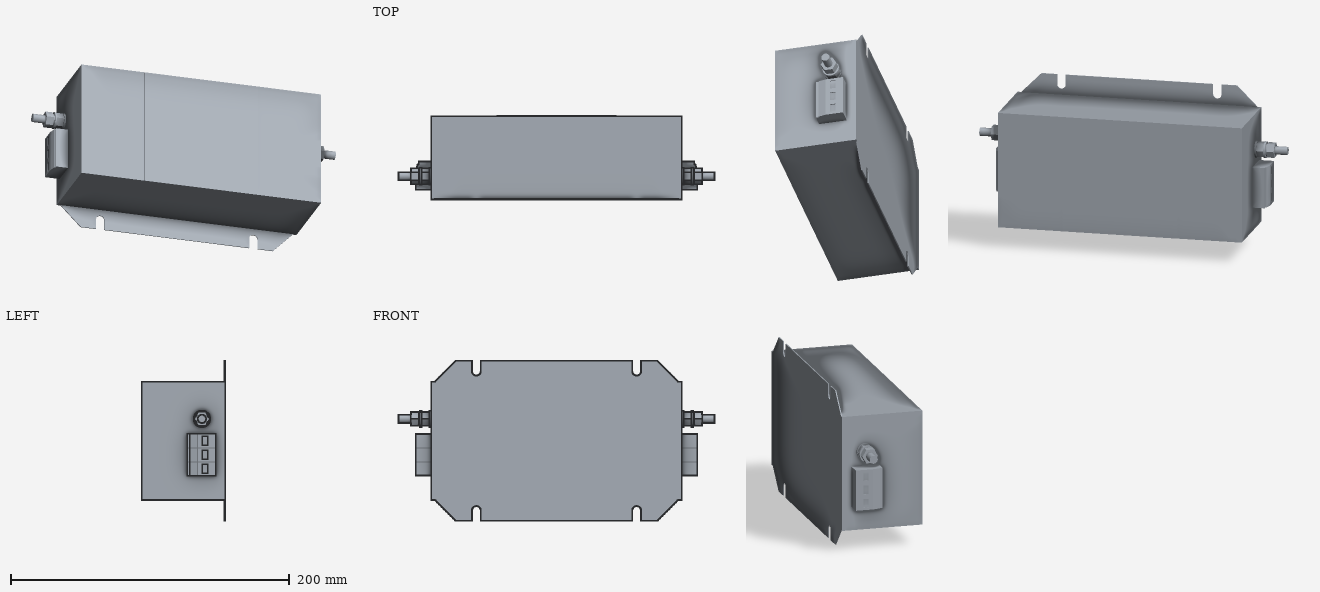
import cadquery as cq
import math


body_length = 180.0
body_depth = 60.0
body_height = 85.0

plate_thickness = 0.8
plate_height = 115.0
plate_shoulder = 2.75
slot_width = 6.2
slot_spacing = 115.0
slot_center_height = 50.0

label_size = 85.0
label_thickness = 0.05

stud_y = 16.8
stud_z = 15.75
stud_diameter = 6.0
stud_tip_x = 113.5
nut_across_flats = 10.0
nut_thickness = 5.4
washer_diameter = 12.0
washer_thickness = 1.3
spring_washer_diameter = 9.0
spring_washer_thickness = 1.0
nut_sides = 6
nut_across_corners = nut_across_flats / math.cos(math.pi / nut_sides)

terminal_count = 3
terminal_pitch = 10.0
terminal_top_z = 5.0
terminal_front_y = 7.0
terminal_slope_start_y = 20.0
terminal_slope_end_y = 25.5
terminal_back_y = 27.5
terminal_reach = 11.0
terminal_slope_end_reach = 9.7
terminal_back_reach = 9.0
window_width = 4.0
window_height = 6.5
window_depth = 0.7
window_center_y = 14.6

wall_x = body_length / 2


def make_housing():
    return cq.Workplane("XY").box(
        body_length, body_depth, body_height, centered=(True, False, True)
    )


def make_plate():
    flange = (plate_height - body_height) / 2
    plate = cq.Workplane("XY").box(
        body_length, plate_thickness, body_height, centered=(True, False, True)
    )
    half_base = wall_x - plate_shoulder
    half_tip = half_base - flange
    half_body = body_height / 2
    half_plate = plate_height / 2
    flanges = (
        cq.Workplane("XZ")
        .polyline([
            (half_base, half_body),
            (half_tip, half_plate),
            (-half_tip, half_plate),
            (-half_base, half_body),
            (-half_base, -half_body),
            (-half_tip, -half_plate),
            (half_tip, -half_plate),
            (half_base, -half_body),
        ])
        .close()
        .extrude(-plate_thickness)
    )
    slot_length = 2 * (half_plate - slot_center_height) + slot_width
    slots = (
        cq.Workplane("XZ")
        .rarray(slot_spacing, plate_height, 2, 2)
        .slot2D(slot_length, slot_width, 90)
        .extrude(-plate_thickness)
    )
    return plate.union(flanges).cut(slots)


def make_label():
    return cq.Workplane("XY").box(
        label_size, label_thickness, label_size, centered=(True, False, True)
    ).translate((0, body_depth, 0))


def make_stud():
    """Stud on the +X wall: washer, nut, washer, spring washer and nut from the wall outward."""
    def section(start_x):
        return cq.Workplane("YZ", origin=(start_x, stud_y, stud_z))

    def disc(start_x, diameter, thickness):
        return section(start_x).circle(diameter / 2).extrude(thickness)

    def nut(start_x):
        return section(start_x).polygon(nut_sides, nut_across_corners).extrude(nut_thickness)

    inner_nut_x = wall_x + washer_thickness
    outer_washer_x = inner_nut_x + nut_thickness
    spring_washer_x = outer_washer_x + washer_thickness
    outer_nut_x = spring_washer_x + spring_washer_thickness
    return (
        disc(wall_x, stud_diameter, stud_tip_x - wall_x)
        .union(disc(wall_x, washer_diameter, washer_thickness))
        .union(nut(inner_nut_x))
        .union(disc(outer_washer_x, washer_diameter, washer_thickness))
        .union(disc(spring_washer_x, spring_washer_diameter, spring_washer_thickness))
        .union(nut(outer_nut_x))
    )


def make_terminal(top_z):
    """One terminal on the +X wall, with a wire window in its outer face."""
    body = (
        cq.Workplane("XY", origin=(wall_x, 0, top_z))
        .polyline([
            (0, terminal_front_y),
            (terminal_reach, terminal_front_y),
            (terminal_reach, terminal_slope_start_y),
            (terminal_slope_end_reach, terminal_slope_end_y),
            (terminal_back_reach, terminal_slope_end_y),
            (terminal_back_reach, terminal_back_y),
            (0, terminal_back_y),
        ])
        .close()
        .extrude(-terminal_pitch)
    )
    window_center_z = top_z - terminal_pitch / 2
    window = (
        cq.Workplane("YZ", origin=(wall_x + terminal_reach, window_center_y, window_center_z))
        .rect(window_width, window_height)
        .extrude(-window_depth)
    )
    return body.cut(window)


result = make_housing().union(make_plate()).union(make_label())
stud = make_stud()
result = result.union(stud).union(stud.mirror("YZ"))

for index in range(terminal_count):
    terminal = make_terminal(terminal_top_z - index * terminal_pitch)
    result = result.union(terminal, clean=False).union(terminal.mirror("YZ"), clean=False)